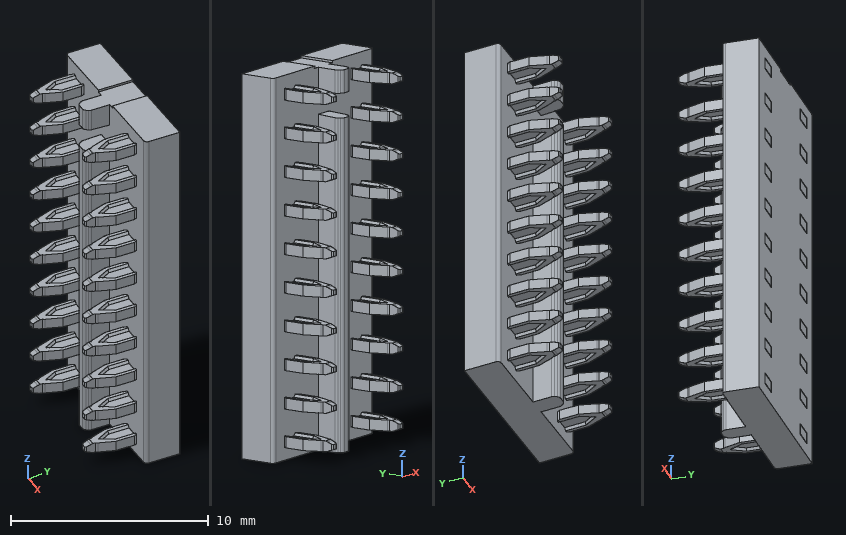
import cadquery as cq

length = 19.95
width = 8.75
depth = 4.75

back_projection = 0.02
pin_reach = 2.75
body_depth = depth - pin_reach - back_projection
edge_radius = 0.2
notch_width = 1.55
notch_depth = 0.12

rib_width = 0.94
rib_height = 1.4
rib_bevel_width = 0.2
rib_bevel_height = 0.28
rib_round = 0.24
gap_top = 1.38
gap_length = 1.18
gap_draft = 0.05

pins_per_row = 10
row_spacing = 5.8
end_margin = 0.98
pin_pitch = (length - 2 * end_margin) / (pins_per_row - 1)
pin_width = 1.2
pin_thickness = 0.58
root_width = 1.05
root_length = 0.15
shoulder_reach = 1.22
neck_width = 0.6
neck_reach = 2.1
tip_root_width = 0.48
tip_root_reach = 2.2
tip_width = 0.38
tip_reach = 2.7
tip_end = 0.25
thinning_start = 2.33
thinning_mid = 2.45
thinning_mid_thickness = 0.5

recess_depth = 0.14
recess_width = 0.82
recess_straight = 1.15
recess_point = 1.9
recess_floor_width = 0.62
recess_floor_point = 1.72


def mirrored_outline(plane, half_points):
    """Closed outline from its right half, listed as (half width, reach toward -Y)."""
    right = [(half, -reach) for half, reach in half_points]
    left = [(-half, y) for half, y in reversed(right) if half > 0]
    return cq.Workplane(plane).polyline(right + left).close()


def make_body():
    """Plain bar with two rounded edges and a shallow notch across its top end."""
    body = cq.Workplane("XY").box(width, body_depth, length, centered=(True, False, False))
    body = body.faces("<Y").edges("|Z").fillet(edge_radius)
    notch = (
        cq.Workplane("XY", origin=(0, 0, length - notch_depth))
        .rect(notch_width, 2 * depth)
        .extrude(notch_depth)
    )
    return body.cut(notch)


def make_rib():
    """Rib in two lengths, flush with the notch floor and the bottom end."""
    half = rib_width / 2
    profile = [
        (half, -body_depth / 2),
        (half, rib_height - rib_bevel_height),
        (half - rib_bevel_width, rib_height),
    ]
    rib = mirrored_outline("XY", profile).extrude(length - notch_depth)
    rib = rib.edges("|Z").edges("not(>Y)").fillet(rib_round)
    upper = length - gap_top
    lower = upper - gap_length
    gap_outline = [
        (0, lower),
        (-rib_height, lower - gap_draft),
        (-rib_height, upper + gap_draft),
        (0, upper),
        (body_depth, upper),
        (body_depth, lower),
    ]
    gap = cq.Workplane("YZ").polyline(gap_outline).close().extrude(rib_width, both=True)
    return rib.cut(gap)


def recess_outline(z, half, point):
    """Wire at height z with straight sides that meet in a point."""
    points = [
        (-half, 0),
        (half, 0),
        (half, -recess_straight),
        (0, -point),
        (-half, -recess_straight),
    ]
    return cq.Wire.makePolygon([cq.Vector(x, y, z) for x, y in points], close=True)


def make_recess():
    """Tapered recess in the upper face of a pin centred on Z = 0."""
    face = pin_thickness / 2
    mouth = recess_outline(face, recess_width / 2, recess_point)
    floor = recess_outline(face - recess_depth, recess_floor_width / 2, recess_floor_point)
    return cq.Workplane(cq.Solid.makeLoft([floor, mouth], True))


def make_pin():
    """Pointed pin along -Y, centred on X = 0 and Z = 0."""
    flat_profile = [
        (root_width / 2, -body_depth - back_projection),
        (root_width / 2, 0),
        (pin_width / 2, root_length),
        (pin_width / 2, shoulder_reach),
        (neck_width / 2, neck_reach),
        (tip_root_width / 2, tip_root_reach),
        (tip_width / 2, tip_reach),
        (tip_end / 2, pin_reach),
    ]
    side_profile = [
        (pin_thickness / 2, -body_depth - back_projection),
        (pin_thickness / 2, thinning_start),
        (thinning_mid_thickness / 2, thinning_mid),
        (tip_end / 2, pin_reach),
    ]
    pin = mirrored_outline("XY", flat_profile).extrude(pin_thickness, both=True)
    side_plane = cq.Plane(origin=(0, 0, 0), xDir=(0, 0, 1), normal=(-1, 0, 0))
    side = mirrored_outline(side_plane, side_profile).extrude(pin_width, both=True)
    recess = make_recess()
    return pin.intersect(side).cut(recess).cut(recess.mirror("XY"))


result = make_body().union(make_rib())
pin = make_pin()
for row_x in (-row_spacing / 2, row_spacing / 2):
    for index in range(pins_per_row):
        result = result.union(pin.translate((row_x, 0, end_margin + index * pin_pitch)))